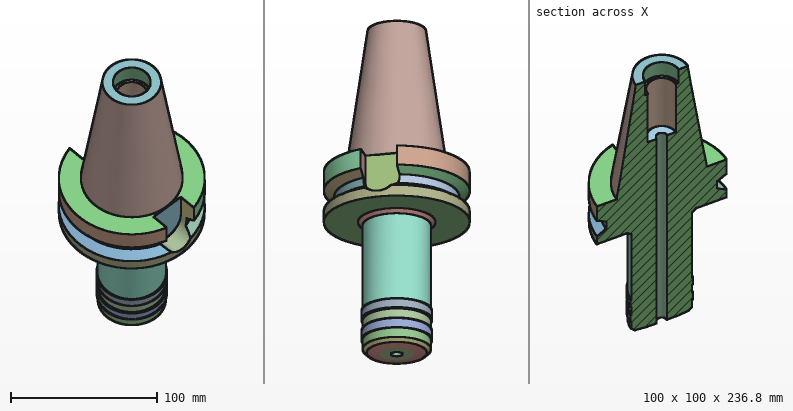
import cadquery as cq

total_height = 236.8
gauge_z = 135.0
flange_top_z = 133.5
flange_bottom_z = 96.9

taper_small_radius = 20.1
taper_gauge_radius = 34.8

flange_radius = 50.0
groove_floor_radius = 42.9
groove_top_z = 119.5
groove_bottom_z = 104.7
groove_flank_height = 4.3

nose_radius = 23.5
neck_height = 2.5
neck_flare = 3.0
nose_chamfer_height = 2.5
nose_chamfer_width = 2.8
end_cone_height = 1.0
end_face_radius = 12.0

band_radius = 24.2
band_height = 7.3
band_edge = band_radius - nose_radius
lower_band_z = 10.5
upper_band_z = 24.5

keyway_width = 25.5
keyway_floor_x = 35.3
keyway_bottom_z = 101.0

pilot_radius = 12.8
pilot_depth = 13.0
thread_radius = 10.7
thread_depth = 59.2
coolant_radius = 4.0


def make_body():
    """Revolve the shank, flange and nose about the Z axis."""
    profile = [
        (0, 0),
        (end_face_radius, 0),
        (nose_radius - nose_chamfer_width, end_cone_height),
        (nose_radius, end_cone_height + nose_chamfer_height),
        (nose_radius, flange_bottom_z - neck_height),
        (nose_radius + neck_flare, flange_bottom_z),
        (flange_radius, flange_bottom_z),
        (flange_radius, groove_bottom_z),
        (groove_floor_radius, groove_bottom_z + groove_flank_height),
        (groove_floor_radius, groove_top_z - groove_flank_height),
        (flange_radius, groove_top_z),
        (flange_radius, flange_top_z),
        (taper_gauge_radius, flange_top_z),
        (taper_gauge_radius, gauge_z),
        (taper_small_radius, total_height),
        (0, total_height),
    ]
    return cq.Workplane("XZ").polyline(profile).close().revolve(360, (0, 0, 0), (0, 1, 0))


def make_band(bottom_z, bevelled_edge):
    """Make a raised band, bevelled on the edge that faces the other band."""
    band = cq.Workplane("XY").workplane(offset=bottom_z).circle(band_radius).extrude(band_height)
    return band.edges(bevelled_edge).chamfer(band_edge)


def make_keyway(side):
    """Make a round-bottomed cutter; side is -1 for -X and +1 for +X."""
    radius = keyway_width / 2
    arc_center_z = keyway_bottom_z + radius
    cutter = (
        cq.Workplane("YZ")
        .workplane(offset=side * keyway_floor_x)
        .moveTo(-radius, flange_top_z)
        .lineTo(-radius, arc_center_z)
        .threePointArc((0, keyway_bottom_z), (radius, arc_center_z))
        .lineTo(radius, flange_top_z)
        .close()
        .extrude(side * flange_radius)
    )
    return cutter


def make_bore(radius, depth):
    """Make a round cutter that runs down from the top of the shank."""
    return cq.Workplane("XY").workplane(offset=total_height).circle(radius).extrude(-depth)


result = make_body()
result = result.union(make_band(lower_band_z, ">Z")).union(make_band(upper_band_z, "<Z"))

for keyway_side in (-1, 1):
    result = result.cut(make_keyway(keyway_side))

bore_steps = [
    (pilot_radius, pilot_depth),
    (thread_radius, thread_depth),
    (coolant_radius, total_height),
]
for step_radius, step_depth in bore_steps:
    result = result.cut(make_bore(step_radius, step_depth))